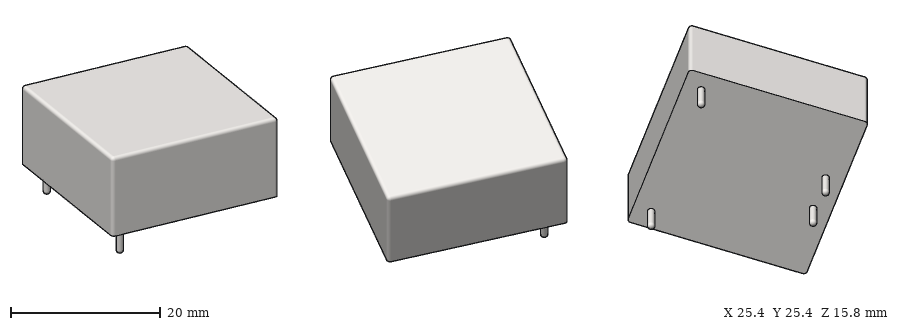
import cadquery as cq

case_side = 25.4
total_height = 15.8
pin_length = 4.1
case_height = total_height - pin_length
edge_radius = 0.5

pin_diameter = 1.02
pin_tip_radius = 0.48
outer_pin_offset = 10.15
inner_pin_offset = 2.55
pin_row_offset = 10.15

pin_positions = [
    (-outer_pin_offset, -pin_row_offset),
    (outer_pin_offset, -pin_row_offset),
    (-inner_pin_offset, pin_row_offset),
    (inner_pin_offset, pin_row_offset),
]


def make_case():
    """Square block with rounded vertical and top edges; its base lies at Z = 0."""
    block = cq.Workplane("XY").box(case_side, case_side, case_height, centered=(True, True, False))
    return block.edges("|Z or >Z").fillet(edge_radius)


def make_pins():
    """Round pins hanging below the case, each with a rounded tip."""
    pins = cq.Workplane("XY").pushPoints(pin_positions).circle(pin_diameter / 2).extrude(-pin_length)
    return pins.faces("<Z").edges().fillet(pin_tip_radius)


result = make_case().union(make_pins())